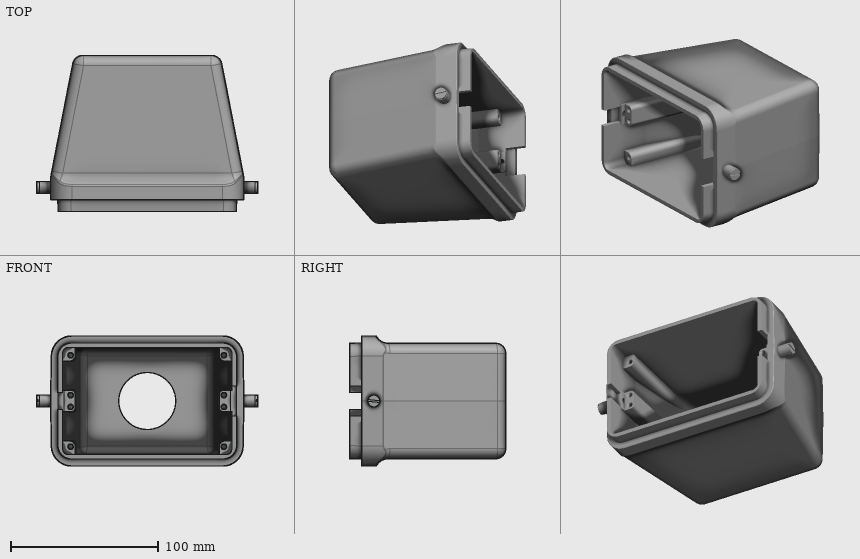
import cadquery as cq
import math


FLANGE_HALF_WIDTH = 65.7
FLANGE_HALF_HEIGHT = 44.25
FLANGE_CORNER_RADIUS = 14.0
FLANGE_FRONT_CHAMFER = 0.3
FLANGE_BACK_ROUND = 1.5
CASTING_DRAFT = 1.0

HOOD_DEPTH = 98.0
HOOD_HALF_HEIGHT = 39.25
HOOD_SIDE_ANGLE = 11.0
HOOD_ROUND = 7.0
SIDE_BREAK_Y = 14.9
FLARE_RADIUS = 9.0
FLARE_START_Y = 18.1
FLARE_ROLL_MARGIN = 1.0

SKIRT_LENGTH = 8.0
SKIRT_ROOT_HALF_WIDTH = 60.8
SKIRT_ROOT_HALF_HEIGHT = 39.5
SKIRT_CORNER_RADIUS = 9.0
SKIRT_DRAFT = 2.0

MOUTH_HALF_WIDTH = 57.4
MOUTH_HALF_HEIGHT = 36.4
MOUTH_DRAFT = 0.5
CAVITY_FOLD_Y = 25.0
CAVITY_SIDE_ANGLE = 10.4
CAVITY_CORNER_RADIUS = 4.0
CAVITY_FLOOR_ROUND = 5.0
BACK_WALL = 4.0
CABLE_HOLE_DIAMETER = 38.5

BOSS_FRONT_Y = 8.5
BOSS_INNER_X = 48.9
BOSS_DRAFT = 0.6
CENTRE_BOSS_HALF_HEIGHT = 7.2
CENTRE_BOSS_ROUND = 2.6
CORNER_BOSS_INNER_Z = 27.2
CORNER_BOSS_ROUND = 3.6
SCREW_X = 52.0
CENTRE_SCREW_Z = 4.0
CORNER_SCREW_Z = 31.0
SCREW_HOLE_DIAMETER = 3.14
SCREW_MOUTH_DIAMETER = 3.85
SCREW_HOLE_DEPTH = 12.0

LEFT_NOTCH_HALF_HEIGHT = 5.7
RIGHT_NOTCH_HALF_HEIGHT = 10.25
RECESS_OUTER_X = 60.4
RECESS_DEPTH = 5.5
PAD_INNER_X = 56.4

PIN_Y = 8.4
PIN_ROOT_X = 63.0
PIN_TIP_X = 75.0
PIN_DIAMETER = 8.4
PIN_TIP_DIAMETER = 8.0
PIN_TIP_LENGTH = 1.9
PIN_HOLE_DIAMETER = 4.9
PIN_SLOT_WIDTH = 1.2
PIN_SLOT_DEPTH = 1.0
PIN_SLOT_TILT = 6.0

EDGE_MARGIN = 1.0


def tan_deg(angle):
    return math.tan(math.radians(angle))


def section_plane(y):
    """Sketch plane at the given Y, with sketch axes along X and Z; it faces -Y."""
    return cq.Workplane("XZ", origin=(0, y, 0))


def box(x_range, y_range, z_range):
    """Box between pairs of coordinates given in any order."""
    spans = [sorted(pair) for pair in (x_range, y_range, z_range)]
    sizes = [high - low for low, high in spans]
    corner = tuple(low for low, _ in spans)
    return cq.Workplane("XY").box(*sizes, centered=False).translate(corner)


def parted_outline(half_width, half_height):
    """Corner points of a rectangle whose two ends lean in from the parting plane by the casting draft."""
    drafted = half_width - half_height * tan_deg(CASTING_DRAFT)
    return [
        (half_width, 0),
        (drafted, half_height),
        (-drafted, half_height),
        (-half_width, 0),
        (-drafted, -half_height),
        (drafted, -half_height),
    ]


def make_flange_prism():
    """Rounded outline of the flange, as deep as the whole hood."""
    prism = (
        section_plane(0)
        .polyline(parted_outline(FLANGE_HALF_WIDTH, FLANGE_HALF_HEIGHT))
        .close()
        .extrude(-HOOD_DEPTH)
    )
    prism = prism.edges("|Y").edges("<Z or >Z").fillet(FLANGE_CORNER_RADIUS)
    return prism.faces("<Y").edges().chamfer(FLANGE_FRONT_CHAMFER)


def make_hood_body():
    """Tapered hood whose top and bottom flare out to the flange, cut to the flange outline."""
    block_rise = FLARE_RADIUS - FLARE_ROLL_MARGIN
    block_z = HOOD_HALF_HEIGHT + block_rise

    def flare_y(rise):
        return FLARE_START_Y - math.sqrt(FLARE_RADIUS**2 - (FLARE_RADIUS - rise) ** 2)

    slope = tan_deg(HOOD_SIDE_ANGLE)
    front_half_width = FLANGE_HALF_WIDTH + SIDE_BREAK_Y * slope
    back_half_width = front_half_width - HOOD_DEPTH * slope

    middle_rise = block_rise / 2
    flare_end = (flare_y(block_rise), block_z)
    flare_middle = (flare_y(middle_rise), HOOD_HALF_HEIGHT + middle_rise)
    upper_profile = (
        cq.Workplane("YZ", origin=(-front_half_width, 0, 0))
        .lineTo(0, block_z)
        .lineTo(*flare_end)
        .threePointArc(flare_middle, (FLARE_START_Y, HOOD_HALF_HEIGHT))
        .lineTo(HOOD_DEPTH, HOOD_HALF_HEIGHT)
        .lineTo(HOOD_DEPTH, 0)
        .close()
        .extrude(2 * front_half_width)
    )
    profile = upper_profile.union(upper_profile.mirror("XY"))
    sides = (
        section_plane(0)
        .polyline(parted_outline(front_half_width, block_z))
        .close()
        .workplane(offset=-HOOD_DEPTH)
        .polyline(parted_outline(back_half_width, block_z))
        .close()
        .loft(ruled=True)
    )
    body = profile.intersect(sides)

    def on_side_ridge(edge):
        centre = edge.Center()
        off_middle = abs(centre.x) > EDGE_MARGIN
        on_top_or_bottom = abs(centre.z) > HOOD_HALF_HEIGHT - EDGE_MARGIN
        return off_middle and on_top_or_bottom and centre.y > flare_end[0]

    back_rim = body.faces(">Y").edges().vals()
    side_ridges = [edge for edge in body.edges().vals() if on_side_ridge(edge) and edge not in back_rim]
    body = body.newObject(back_rim + side_ridges).fillet(HOOD_ROUND)
    body = body.intersect(make_flange_prism())
    return round_flange_back(body)


def round_flange_back(body):
    """Soften the ridge where the flare runs out into the flange rim."""
    ridge = body.faces(">Z or <Z").edges(">Y")
    return ridge.fillet(FLANGE_BACK_ROUND)


def make_skirt():
    """Solid rim in front of the flange, slightly smaller at its tip."""
    return (
        section_plane(0)
        .rect(2 * SKIRT_ROOT_HALF_WIDTH, 2 * SKIRT_ROOT_HALF_HEIGHT)
        .extrude(SKIRT_LENGTH, taper=SKIRT_DRAFT)
        .edges("not(|X or |Z)")
        .fillet(SKIRT_CORNER_RADIUS)
    )


def make_cavity():
    """Inner space: straight sides up to the fold, then sides that lean in to the back wall."""
    floor_y = HOOD_DEPTH - BACK_WALL
    length = floor_y + SKIRT_LENGTH
    floor_half_width = MOUTH_HALF_WIDTH - (floor_y - CAVITY_FOLD_Y) * tan_deg(CAVITY_SIDE_ANGLE)
    floor_half_height = MOUTH_HALF_HEIGHT - length * tan_deg(MOUTH_DRAFT)
    plan = (
        cq.Workplane("XY", origin=(0, 0, -MOUTH_HALF_HEIGHT))
        .polyline([
            (-MOUTH_HALF_WIDTH, -SKIRT_LENGTH),
            (MOUTH_HALF_WIDTH, -SKIRT_LENGTH),
            (MOUTH_HALF_WIDTH, CAVITY_FOLD_Y),
            (floor_half_width, floor_y),
            (-floor_half_width, floor_y),
            (-MOUTH_HALF_WIDTH, CAVITY_FOLD_Y),
        ])
        .close()
        .extrude(2 * MOUTH_HALF_HEIGHT)
    )
    elevation = (
        cq.Workplane("YZ", origin=(-MOUTH_HALF_WIDTH, 0, 0))
        .polyline([
            (-SKIRT_LENGTH, -MOUTH_HALF_HEIGHT),
            (-SKIRT_LENGTH, MOUTH_HALF_HEIGHT),
            (floor_y, floor_half_height),
            (floor_y, -floor_half_height),
        ])
        .close()
        .extrude(2 * MOUTH_HALF_WIDTH)
    )
    cavity = plan.intersect(elevation)
    cavity = cavity.faces(">Y").edges().fillet(CAVITY_FLOOR_ROUND)
    lengthwise = cavity.edges("not(|X or |Z)").vals()
    corners = [edge for edge in lengthwise if abs(edge.Center().z) > floor_half_height - EDGE_MARGIN]
    return cavity.newObject(corners).fillet(CAVITY_CORNER_RADIUS)


def boss_column(inner_x, outer_x, low_z, high_z, corner_round):
    """Column along +Y, widening with depth by the boss draft, rounded on its inner long edges."""
    length = HOOD_DEPTH - BOSS_FRONT_Y
    growth = 2 * length * tan_deg(BOSS_DRAFT)
    return (
        section_plane(HOOD_DEPTH)
        .center((inner_x + outer_x) / 2, (low_z + high_z) / 2)
        .rect(outer_x - inner_x + growth, high_z - low_z + growth)
        .extrude(length, taper=BOSS_DRAFT)
        .edges("not(|X or |Z)")
        .edges("<X")
        .fillet(corner_round)
    )


def make_bosses():
    """Three screw bosses on each end wall; they run on past the walls and are trimmed later."""
    outer_x = FLANGE_HALF_WIDTH
    centre = boss_column(
        BOSS_INNER_X, outer_x, -CENTRE_BOSS_HALF_HEIGHT, CENTRE_BOSS_HALF_HEIGHT, CENTRE_BOSS_ROUND
    )
    corner = boss_column(
        BOSS_INNER_X, outer_x, CORNER_BOSS_INNER_Z, HOOD_HALF_HEIGHT, CORNER_BOSS_ROUND
    )
    right_end = centre.union(corner).union(corner.mirror("XY"))
    return right_end.union(right_end.mirror("YZ"))


def make_screw_holes():
    """Blind holes with countersunk mouths in the boss faces."""
    points = [
        (side * SCREW_X, z)
        for side in (-1, 1)
        for z in (-CORNER_SCREW_Z, -CENTRE_SCREW_Z, CENTRE_SCREW_Z, CORNER_SCREW_Z)
    ]
    countersink = (SCREW_MOUTH_DIAMETER - SCREW_HOLE_DIAMETER) / 2
    plane = section_plane(BOSS_FRONT_Y).pushPoints(points)
    bores = plane.circle(SCREW_HOLE_DIAMETER / 2).extrude(-SCREW_HOLE_DEPTH)
    cone = cq.Solid.makeCone(
        SCREW_MOUTH_DIAMETER / 2, SCREW_HOLE_DIAMETER / 2, countersink, pnt=(0, 0, 0), dir=(0, 1, 0)
    )
    for x, z in points:
        bores = bores.union(cone.translate((x, BOSS_FRONT_Y, z)))
    return bores


def make_pads():
    """Pad on each end wall that runs from the centre boss forward to the recess floor."""
    z_range = (-CENTRE_BOSS_HALF_HEIGHT, CENTRE_BOSS_HALF_HEIGHT)
    pad = box((PAD_INNER_X, RECESS_OUTER_X), (RECESS_DEPTH, BOSS_FRONT_Y), z_range)
    return pad.union(pad.mirror("YZ"))


def make_notch(side, half_height):
    """Opening through the skirt and the recess behind it; side is -1 for the -X end and 1 for +X."""
    inner_x = side * PAD_INNER_X
    z_range = (-half_height, half_height)
    opening = box((inner_x, side * FLANGE_HALF_WIDTH), (-SKIRT_LENGTH, 0), z_range)
    recess = box((inner_x, side * RECESS_OUTER_X), (0, RECESS_DEPTH), z_range)
    return opening.union(recess)


def x_cylinder(diameter, start_x, end_x):
    """Cylinder on the axis of the +X locking pin."""
    plane = cq.Workplane("YZ", origin=(start_x, PIN_Y, 0))
    return plane.circle(diameter / 2).extrude(end_x - start_x)


def make_pin_holes():
    """Holes that open through the pads behind both pins."""
    hole = x_cylinder(PIN_HOLE_DIAMETER, PAD_INNER_X, PIN_ROOT_X)
    return hole.union(hole.mirror("YZ"))


def make_pins():
    """Slotted pins standing out of both ends."""
    shoulder_x = PIN_TIP_X - PIN_TIP_LENGTH
    slot_floor_x = PIN_TIP_X - PIN_SLOT_DEPTH
    shank = x_cylinder(PIN_DIAMETER, PIN_ROOT_X, shoulder_x)
    pin = shank.union(x_cylinder(PIN_TIP_DIAMETER, shoulder_x, PIN_TIP_X))
    slot = (
        cq.Workplane("YZ", origin=(slot_floor_x, PIN_Y, 0))
        .transformed(rotate=(0, 0, -PIN_SLOT_TILT))
        .rect(2 * PIN_DIAMETER, PIN_SLOT_WIDTH)
        .extrude(PIN_SLOT_DEPTH)
    )
    pin = pin.cut(slot)
    return pin.union(pin.mirror("YZ"))


def make_cable_hole():
    plane = section_plane(HOOD_DEPTH)
    return plane.circle(CABLE_HOLE_DIAMETER / 2).extrude(2 * BACK_WALL)


outer = make_hood_body()
result = outer.union(make_skirt()).cut(make_cavity())
result = result.union(make_bosses().intersect(outer)).union(make_pads())
result = result.cut(make_screw_holes()).cut(make_cable_hole()).cut(make_pin_holes())
result = result.cut(make_notch(-1, LEFT_NOTCH_HALF_HEIGHT))
result = result.cut(make_notch(1, RIGHT_NOTCH_HALF_HEIGHT))
result = result.union(make_pins())